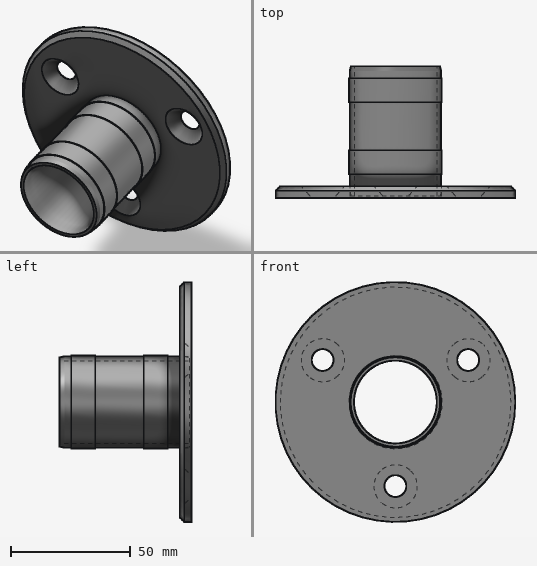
import cadquery as cq

flange_diameter = 100.0
flange_thickness = 5.0
flange_chamfer = 2.0
bolt_hole_diameter = 9.0
bolt_hole_rear_diameter = 18.0
bolt_circle_radius = 35.0
bolt_hole_count = 3
first_bolt_angle = 60.0

tube_radius = 19.1
bore_radius = 17.2
overall_depth = 55.0
tube_recess = 1.0
end_taper_length = 2.0
end_taper_depth = 0.5

band_radius = 19.4
band_width = 10.0
band_end_gap = 5.0
band_starts = [
    flange_thickness + band_end_gap,
    overall_depth - band_end_gap - band_width,
]


def cylinder_along_y(radius, start, length):
    """Solid cylinder on the Y axis, from start towards +Y."""
    return cq.Workplane("XZ", origin=(0, start, 0)).circle(radius).extrude(-length)


def make_bolt_hole():
    """Conical bolt hole above the axis, widening from the open face to the rear face."""
    return cq.Workplane("XY").add(
        cq.Solid.makeCone(
            bolt_hole_diameter / 2,
            bolt_hole_rear_diameter / 2,
            flange_thickness,
            pnt=cq.Vector(0, 0, bolt_circle_radius),
            dir=cq.Vector(0, 1, 0),
        )
    )


def make_flange():
    """Drilled plate with a chamfered rear rim and a seat for the tube."""
    plate = cylinder_along_y(flange_diameter / 2, 0, flange_thickness)
    plate = plate.faces(">Y").edges().chamfer(flange_chamfer)
    seat = cylinder_along_y(tube_radius, 0, flange_thickness)
    plate = plate.cut(seat)
    angle_step = 360 / bolt_hole_count
    for index in range(bolt_hole_count):
        bolt_hole = make_bolt_hole().rotate((0, 0, 0), (0, 1, 0), first_bolt_angle + index * angle_step)
        plate = plate.cut(bolt_hole)
    return plate


def make_tube():
    """Tube with tapered ends, two raised bands and a through bore."""
    taper_end_radius = tube_radius - end_taper_depth
    tube = (
        cq.Workplane("XY")
        .moveTo(bore_radius, tube_recess)
        .lineTo(taper_end_radius, tube_recess)
        .lineTo(tube_radius, tube_recess + end_taper_length)
        .lineTo(tube_radius, overall_depth - end_taper_length)
        .lineTo(taper_end_radius, overall_depth)
        .lineTo(bore_radius, overall_depth)
        .close()
        .revolve(360, (0, 0, 0), (0, 1, 0))
    )
    for start in band_starts:
        band = cylinder_along_y(band_radius, start, band_width)
        bore = cylinder_along_y(bore_radius, start, band_width)
        tube = tube.union(band.cut(bore))
    return tube


flange = make_flange()
tube = make_tube()

result = cq.Compound.makeCompound([flange.val(), tube.val()])